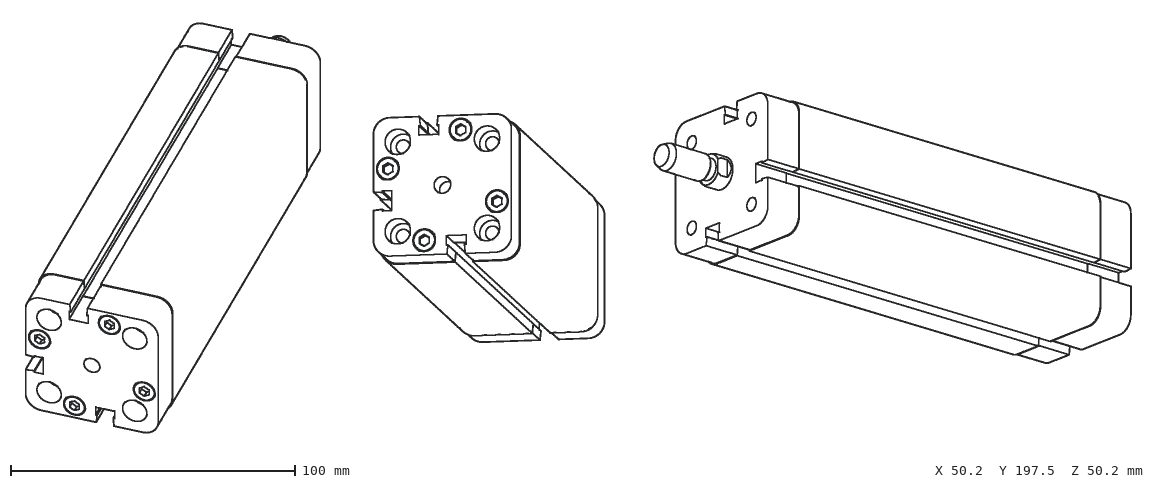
import cadquery as cq


total_length = 197.5
rod_extension = 28.0
cap_length = 14.5
housing_length = total_length - rod_extension
barrel_length = housing_length - 2 * cap_length

barrel_width = 50.2
cap_width = 49.5
corner_radius = 6.0

slot_offset = 5.0
lip_depth = 3.5
barrel_slot_depth = 7.1
cap_slot_depth = 7.0
channel_width = 7.1
mouth_throat_width = 6.0
barrel_mouth_width = 6.3
cap_mouth_width = 6.7
slot_angles = (0, 90, 270)

mount_offset = 16.0
mount_hole_diameter = 5.0
mount_counterbore_diameter = 9.0
mount_counterbore_depth = 9.9

screw_x = 6.5
screw_z = 19.5
screw_recess_diameter = 8.0
screw_head_diameter = 7.5
screw_head_height = 4.0
hex_corner_diameter = 4.1
hex_depth = 2.4

centre_hole_diameter = 6.0
centre_hole_depth = 9.9

rod_diameter = 12.0
thread_diameter = 10.0
tip_diameter = 8.0
neck_diameter = 8.0
tip_taper_length = 2.5
thread_end = 18.5
thread_relief_length = 0.5
neck_end = 22.0
rod_taper_length = 1.4
rod_shoulder_diameter = 11.3
flat_width = 10.0
flat_length = 4.3


def plane_at(y):
    """Sketch plane facing -Y at the given y; sketch axes are X and Z."""
    return cq.Workplane("XZ", origin=(0, y, 0))


def square_block(width, y_start, length):
    block = plane_at(y_start).rect(width, width).extrude(-length)
    return block.edges("|Y").fillet(corner_radius)


def slot_cutter(mouth_width, depth, y_start, length):
    """T-slot cutter on the left side, spanning the given stretch of the axis."""
    face_x = -barrel_width / 2
    throat_x = face_x + lip_depth
    floor_x = face_x + depth
    half_outline = [
        (face_x, mouth_width / 2),
        (throat_x, mouth_throat_width / 2),
        (throat_x, channel_width / 2),
        (floor_x, channel_width / 2),
    ]
    mirrored_outline = [(x, -z) for x, z in reversed(half_outline)]
    sketch = plane_at(y_start).center(0, -slot_offset)
    return sketch.polyline(half_outline + mirrored_outline).close().extrude(-length)


def housing_section(width, mouth_width, slot_depth, y_start, length):
    section = square_block(width, y_start, length)
    cutter = slot_cutter(mouth_width, slot_depth, y_start, length)
    for angle in slot_angles:
        section = section.cut(cutter.rotate((0, 0, 0), (0, -1, 0), angle))
    return section


def end_cap(y_start):
    return housing_section(cap_width, cap_mouth_width, cap_slot_depth, y_start, cap_length)


def housing():
    barrel = housing_section(
        barrel_width, barrel_mouth_width, barrel_slot_depth, cap_length, barrel_length
    )
    return barrel.union(end_cap(0)).union(end_cap(cap_length + barrel_length))


def mounting_holes():
    spacing = 2 * mount_offset
    holes = plane_at(0).rarray(spacing, spacing, 2, 2)
    holes = holes.circle(mount_hole_diameter / 2).extrude(-housing_length)
    counterbores = plane_at(0).rarray(spacing, spacing, 2, 2)
    counterbores = counterbores.circle(mount_counterbore_diameter / 2)
    return holes.union(counterbores.extrude(-mount_counterbore_depth))


def screw_cuts():
    """Ring gap around each screw head, and its hexagon socket."""
    x, z = screw_x, screw_z
    centres = [(x, z), (z, -x), (-x, -z), (-z, x)]
    recesses = plane_at(0).pushPoints(centres)
    recesses = recesses.circle(screw_recess_diameter / 2).extrude(-screw_head_height)
    heads = plane_at(0).pushPoints(centres)
    heads = heads.circle(screw_head_diameter / 2).extrude(-screw_head_height)
    sockets = cq.Workplane("XZ").transformed(rotate=(0, 0, 90))
    sockets = sockets.pushPoints(centres).polygon(6, hex_corner_diameter).extrude(-hex_depth)
    return recesses.cut(heads).union(sockets)


def piston_rod():
    outline = [
        (0, housing_length),
        (rod_diameter / 2, housing_length),
        (rod_diameter / 2, total_length - neck_end - rod_taper_length),
        (rod_shoulder_diameter / 2, total_length - neck_end),
        (neck_diameter / 2, total_length - neck_end),
        (neck_diameter / 2, total_length - thread_end - thread_relief_length),
        (thread_diameter / 2, total_length - thread_end),
        (thread_diameter / 2, total_length - tip_taper_length),
        (tip_diameter / 2, total_length),
        (0, total_length),
    ]
    rod = cq.Workplane("XY").polyline(outline).close().revolve(360, (0, 0), (0, 1))

    flat_top = total_length - neck_end
    flat_bottom = flat_top - flat_length
    runout = (rod_diameter - flat_width) / 2
    flat = cq.Workplane("XY").polyline([
        (flat_width / 2, flat_top),
        (flat_width / 2, flat_bottom),
        (flat_width / 2 + runout, flat_bottom - runout),
        (flat_width / 2 + runout, flat_top),
    ]).close().extrude(rod_diameter / 2, both=True)
    return rod.cut(flat).cut(flat.mirror("YZ"))


centre_hole = plane_at(0).circle(centre_hole_diameter / 2).extrude(-centre_hole_depth)

result = (
    housing()
    .cut(mounting_holes())
    .cut(screw_cuts())
    .cut(centre_hole)
    .union(piston_rod())
)